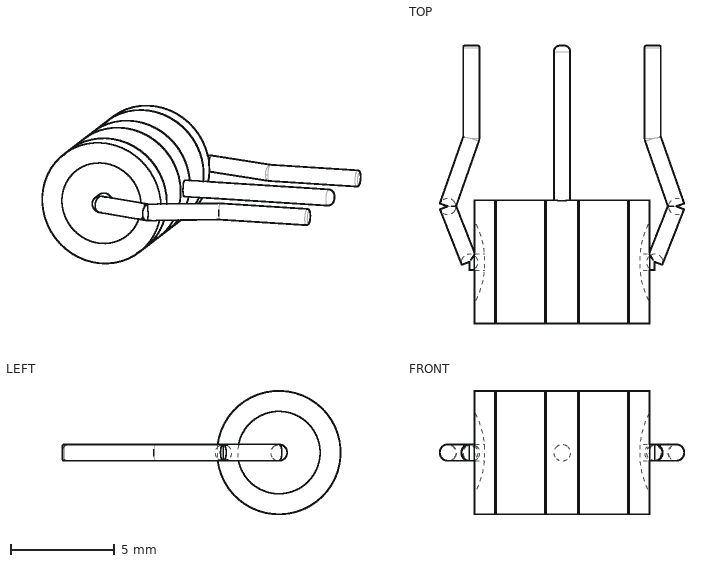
import cadquery as cq

body_length = 8.5
body_radius = 3.0
end_cap_length = 1.0
centre_ring_length = 1.55
gap_width = 0.05
gap_count = 4
insulator_length = (
    body_length - centre_ring_length - 2 * end_cap_length - gap_count * gap_width
) / 2

dish_radius = 2.0
dish_depth = 0.5

wire_radius = 0.4
lead_end_y = 10.5
centre_tip_round = 0.3
side_tip_round = 0.1

root_bend_x = 4.49
elbow_x = 5.555
elbow_y = 2.7
straight_x = 4.4
straight_start_y = 6.0


def make_disc(start_x, length):
    """Body disc that begins at start_x and runs along +X."""
    return cq.Workplane("YZ", origin=(start_x, 0, 0)).circle(body_radius).extrude(length)


def make_dish_cutter(side):
    """Sphere that cuts the dish into one end face; side is -1 or +1 in X."""
    sphere_radius = (dish_radius**2 + dish_depth**2) / (2 * dish_depth)
    sphere_x = body_length / 2 - dish_depth + sphere_radius
    return cq.Workplane("YZ").sphere(sphere_radius).translate((side * sphere_x, 0, 0))


def make_centre_lead():
    """Straight lead from the body axis along +Y with a rounded tip."""
    return (
        cq.Workplane("XZ")
        .circle(wire_radius)
        .extrude(-lead_end_y)
        .faces(">Y")
        .edges()
        .fillet(centre_tip_round)
    )


def make_side_lead(side):
    """Bent lead from the body centre, out along the axis and round to +Y."""
    path = cq.Workplane("XY").polyline(
        [
            (0, 0),
            (side * root_bend_x, 0),
            (side * elbow_x, elbow_y),
            (side * straight_x, straight_start_y),
            (side * straight_x, lead_end_y),
        ]
    )
    lead = cq.Workplane("YZ").circle(wire_radius).sweep(path, transition="round")
    return lead.faces(">Y").edges().fillet(side_tip_round)


def make_body():
    """Five spaced discs with a dish in each outer face."""
    disc_lengths = (
        end_cap_length,
        insulator_length,
        centre_ring_length,
        insulator_length,
        end_cap_length,
    )
    body = cq.Workplane("YZ")
    start_x = -body_length / 2
    for length in disc_lengths:
        body = body.add(make_disc(start_x, length))
        start_x += length + gap_width
    body = body.combine()
    for side in (-1, 1):
        body = body.cut(make_dish_cutter(side))
    return body


wires = make_centre_lead()
for lead_side in (-1, 1):
    wires = wires.union(make_side_lead(lead_side))

result = wires.union(make_body())